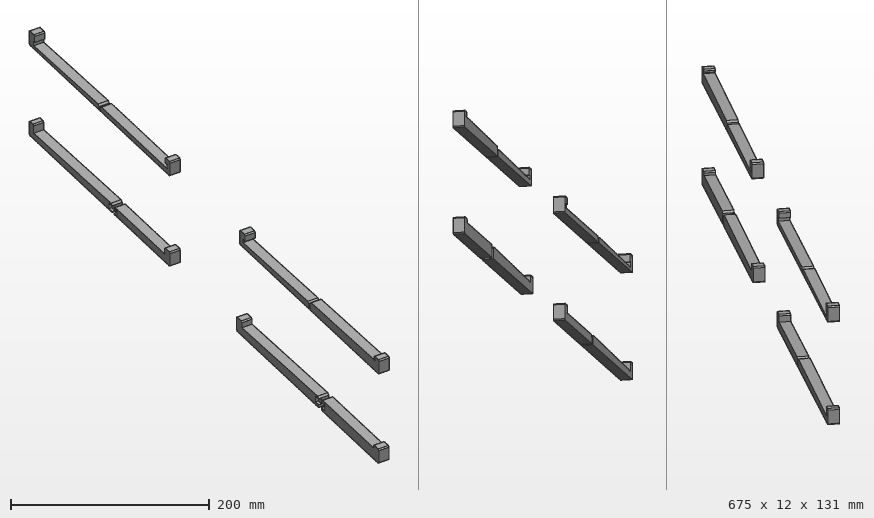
import cadquery as cq
import math

OVERALL_LENGTH = 675.0
OVERALL_HEIGHT = 131.0
HALF_WIDTH = 6.0

HOOK_HEIGHT = 17.5
HOOK_BEVEL = 1.5
TAPER_ANGLE = 1.1
NOSE_RUN = 2.0
NOSE_DROP = 2.0

POCKET_LENGTH = 6.0
POCKET_HEIGHT = 7.0
POCKET_DEPTH = 3.5

UPPER_LEFT_BASE = OVERALL_HEIGHT / 2 - HOOK_HEIGHT
UPPER_RIGHT_BASE = UPPER_LEFT_BASE - 3.5
LOWER_RIGHT_BASE = -OVERALL_HEIGHT / 2
LOWER_LEFT_BASE = LOWER_RIGHT_BASE + 2.35
POCKET_FLOOR = LOWER_RIGHT_BASE + 3.5

LEFT_PAIR_START = -OVERALL_LENGTH / 2
LEFT_PAIR_END = LEFT_PAIR_START + 272.0
UPPER_RIGHT_START = 68.0
UPPER_RIGHT_END = OVERALL_LENGTH / 2
LOWER_RIGHT_START = 62.0
LOWER_RIGHT_END = UPPER_RIGHT_END - 1.0

RISING = 1
LEVEL = 0
FALLING = -1


def inward_direction(outer_x, tip_x):
    """+1 for an arm whose tip lies on the +X side of its hook, -1 for the other hand."""
    return math.copysign(1, tip_x - outer_x)


def hooked_arm(outer_x, tip_x, base_z, post, tip_height, slope, lip=0.0, lip_height=0.0):
    """A bar from an upright hook at outer_x to a bevelled tip at tip_x.

    post is the thickness of the hook's upright along X; lip is how far the top of the hook
    reaches inward beyond the upright, and lip_height is how tall that overhang is.
    """
    inward = inward_direction(outer_x, tip_x)
    post_x = outer_x + inward * post
    lip_x = post_x + inward * lip
    top_z = base_z + HOOK_HEIGHT
    tip_z = base_z + tip_height
    rise = slope * abs(tip_x - post_x) * math.tan(math.radians(TAPER_ANGLE))

    outline = [
        (outer_x + inward * HOOK_BEVEL, base_z),
        (tip_x, base_z),
        (tip_x, tip_z - NOSE_DROP),
        (tip_x - inward * NOSE_RUN, tip_z),
        (post_x, tip_z - rise),
    ]
    if lip > 0:
        outline += [(post_x, top_z - lip_height), (lip_x, top_z - lip_height)]
    outline += [
        (lip_x, top_z - HOOK_BEVEL),
        (lip_x - inward * HOOK_BEVEL, top_z),
        (outer_x + inward * HOOK_BEVEL, top_z),
        (outer_x, top_z - HOOK_BEVEL),
        (outer_x, base_z + HOOK_BEVEL),
    ]
    return cq.Workplane("XZ").polyline(outline).close().extrude(HALF_WIDTH, both=True)


def pocketed_arm(outer_x, tip_x, base_z, post, tip_height, slope):
    """A hooked arm without a lip, with a blind pocket in the front face of its tip."""
    arm = hooked_arm(outer_x, tip_x, base_z, post, tip_height, slope)
    pocket_middle_x = tip_x - inward_direction(outer_x, tip_x) * POCKET_LENGTH / 2
    pocket = (
        cq.Workplane("XY")
        .box(POCKET_LENGTH, POCKET_DEPTH, POCKET_HEIGHT, centered=(True, False, False))
        .translate((pocket_middle_x, -HALF_WIDTH, POCKET_FLOOR))
    )
    return arm.cut(pocket)


upper_left_first = hooked_arm(
    LEFT_PAIR_START, -202.5, UPPER_LEFT_BASE, post=9.0, tip_height=6.0, slope=RISING, lip=2.0, lip_height=9.0
)
upper_left_second = hooked_arm(
    LEFT_PAIR_END, -200.5, UPPER_LEFT_BASE, post=6.0, tip_height=6.0, slope=LEVEL, lip=4.0, lip_height=7.0
)
upper_right_first = hooked_arm(
    UPPER_RIGHT_START, 202.0, UPPER_RIGHT_BASE, post=7.0, tip_height=8.0, slope=RISING, lip=4.0, lip_height=8.0
)
upper_right_second = hooked_arm(
    UPPER_RIGHT_END, 204.0, UPPER_RIGHT_BASE, post=8.0, tip_height=10.0, slope=FALLING, lip=2.0, lip_height=3.5
)

lower_left_first = pocketed_arm(
    LEFT_PAIR_START, -177.5, LOWER_LEFT_BASE, post=9.0, tip_height=10.0, slope=RISING
)
lower_left_second = pocketed_arm(
    LEFT_PAIR_END, -174.0, LOWER_LEFT_BASE, post=11.0, tip_height=9.5, slope=LEVEL
)
lower_right_first = pocketed_arm(
    LOWER_RIGHT_START, 221.0, LOWER_RIGHT_BASE, post=11.0, tip_height=13.0, slope=RISING
)
lower_right_second = pocketed_arm(
    LOWER_RIGHT_END, 226.0, LOWER_RIGHT_BASE, post=11.0, tip_height=13.5, slope=LEVEL
)

result = cq.Compound.makeCompound([
    upper_left_first.val(),
    upper_left_second.val(),
    upper_right_first.val(),
    upper_right_second.val(),
    lower_left_first.val(),
    lower_left_second.val(),
    lower_right_first.val(),
    lower_right_second.val(),
])